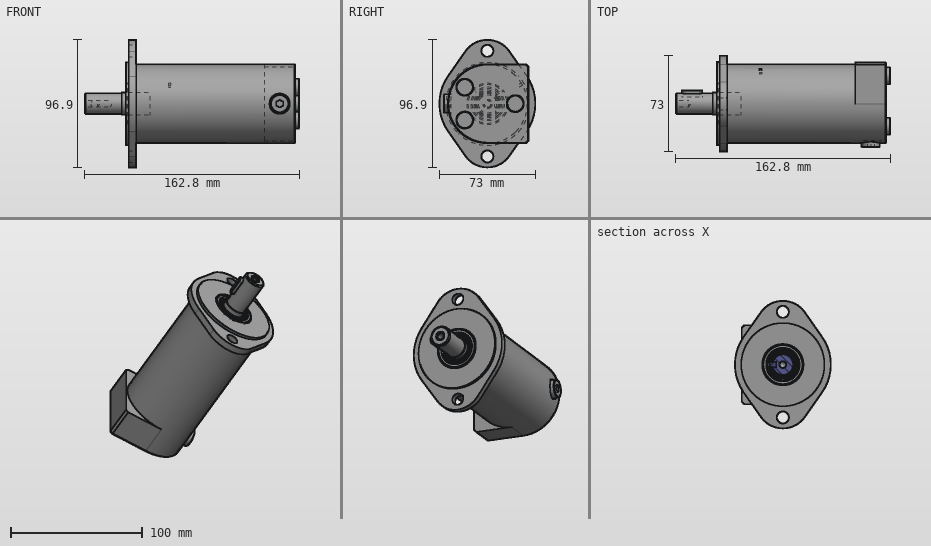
import cadquery as cq
import math

TOTAL_LENGTH = 162.8

SHAFT_DIA = 16.0
SHAFT_TIP_DIA = 13.8
SHOULDER_DIA = 17.0
SHOULDER_X = 28.2
SHAFT_END_X = 49.7
CENTRE_MOUTH_DIA = 7.0
CENTRE_LEDGE_DIA = 6.0
CENTRE_CORE_DIA = 4.9
CENTRE_MOUTH_DEPTH = 1.0
CENTRE_CORE_DEPTH = 9.8
CENTRE_POINT_ANGLE = 120.0

KEY_X = 4.5
KEY_LENGTH = 15.8
KEY_WIDTH = 4.9
KEY_HEIGHT = 4.9
KEY_TOP_Y = 10.1

PILOT_X = 31.5
PILOT_DIA = 63.2
FLANGE_X = 33.5
FLANGE_THICKNESS = 5.5
FLANGE_WIDTH = 73.0
FLANGE_HEIGHT = 96.9
FLANGE_TIP_RADIUS = 20.4
FLANGE_HOLE_DIA = 9.0
FLANGE_HOLE_Z = 40.0
BODY_DIA = 60.0
BODY_END_X = 159.7
REAR_CHAMFER_LENGTH = 0.8
REAR_CHAMFER_DROP = 0.5
PORT_BLOCK_X = 136.5
PORT_BLOCK_Y = 31.3
PORT_BLOCK_CHAMFER = 2.0
VENT_DIA = 2.0
VENT_DEPTH = 3.3
VENT_X = 64.3
VENT_ANGLE = 30.0

SEAL_OUTER_DIA = 31.5
SEAL_FACE_OUTER_DIA = 29.5
SEAL_FACE_INNER_DIA = 25.5
SEAL_VALLEY_DIA = 23.5
SEAL_ROUND_RADIUS = 0.5
SEAL_STEP_DIA = 21.0
SEAL_LIP_FOOT_DIA = 19.0
SEAL_LIP_DIA = 17.6
SEAL_VALLEY_DEPTH = 1.0
SEAL_STEP_DEPTH = 1.1
SEAL_LIP_DEPTH = 0.7

PLUG_X = 148.0
PLUG_DIA = 14.0
PLUG_RECESS_DIA = 15.5
PLUG_TIP_DIA = 13.0
PLUG_TIP_Y = -33.0
PLUG_SEAT_Y = -27.7
PLUG_CHAMFER_HEIGHT = 0.5
PLUG_SOCKET_WIDTH = 5.0
PLUG_SOCKET_DEPTH = 4.5

BOLT_DIA = 13.0
BOLT_CHAMFER = 0.5
BOLT_CIRCLE_RADIUS = 21.2
BOLT_ANGLES = (0.0, 144.0, 216.0)


def rod(diameter, start_x, end_x):
    """Cylinder along X."""
    return cq.Workplane("YZ").workplane(offset=start_x).circle(diameter / 2).extrude(end_x - start_x)


def make_flange():
    """Two-hole flange: a round middle joined by tangent lines to two rounded tips."""
    middle_radius = FLANGE_WIDTH / 2
    tip_centre_z = FLANGE_HEIGHT / 2 - FLANGE_TIP_RADIUS
    tangent_sine = (middle_radius - FLANGE_TIP_RADIUS) / tip_centre_z
    tangent_cosine = math.sqrt(1 - tangent_sine**2)
    middle_y = middle_radius * tangent_cosine
    middle_z = middle_radius * tangent_sine
    tip_y = FLANGE_TIP_RADIUS * tangent_cosine
    tip_z = tip_centre_z + FLANGE_TIP_RADIUS * tangent_sine
    return (
        cq.Workplane("YZ")
        .workplane(offset=FLANGE_X)
        .moveTo(middle_y, -middle_z)
        .threePointArc((middle_radius, 0), (middle_y, middle_z))
        .lineTo(tip_y, tip_z)
        .threePointArc((0, FLANGE_HEIGHT / 2), (-tip_y, tip_z))
        .lineTo(-middle_y, middle_z)
        .threePointArc((-middle_radius, 0), (-middle_y, -middle_z))
        .lineTo(-tip_y, -tip_z)
        .threePointArc((0, -FLANGE_HEIGHT / 2), (tip_y, -tip_z))
        .close()
        .extrude(FLANGE_THICKNESS)
        .cut(
            cq.Workplane("YZ")
            .workplane(offset=FLANGE_X)
            .pushPoints([(0, FLANGE_HOLE_Z), (0, -FLANGE_HOLE_Z)])
            .circle(FLANGE_HOLE_DIA / 2)
            .extrude(FLANGE_THICKNESS)
        )
    )


def make_rear_cover():
    """Round end cover with a square port block on its +Y side."""
    length = BODY_END_X - PORT_BLOCK_X
    block = (
        cq.Workplane("XY")
        .box(length, PORT_BLOCK_Y, BODY_DIA, centered=(False, False, True))
        .translate((PORT_BLOCK_X, 0, 0))
        .edges("|X and >Y")
        .chamfer(PORT_BLOCK_CHAMFER)
    )
    cover = rod(BODY_DIA, PORT_BLOCK_X, BODY_END_X).union(block)
    return cover.faces(">X").chamfer(REAR_CHAMFER_LENGTH, REAR_CHAMFER_DROP)


def make_seal_seat():
    """Ring of material to remove from the pilot face around the shaft."""
    outer_radius = SEAL_OUTER_DIA / 2
    face_outer_radius = SEAL_FACE_OUTER_DIA / 2
    face_inner_radius = SEAL_FACE_INNER_DIA / 2
    valley_radius = SEAL_VALLEY_DIA / 2
    step_radius = SEAL_STEP_DIA / 2
    lip_foot_radius = SEAL_LIP_FOOT_DIA / 2
    lip_radius = SEAL_LIP_DIA / 2
    shaft_radius = SHOULDER_DIA / 2
    round_inner_radius = valley_radius - SEAL_ROUND_RADIUS
    round_depth = SEAL_VALLEY_DEPTH - SEAL_ROUND_RADIUS
    arc_offset = SEAL_ROUND_RADIUS * math.sqrt(0.5)
    outer_groove = (
        cq.Workplane("XY")
        .moveTo(PILOT_X, outer_radius)
        .lineTo(PILOT_X + outer_radius - face_outer_radius, outer_radius)
        .lineTo(PILOT_X, face_outer_radius)
        .close()
        .revolve(360, (0, 0, 0), (1, 0, 0))
    )
    lip_recess = (
        cq.Workplane("XY")
        .moveTo(PILOT_X, face_inner_radius)
        .lineTo(PILOT_X + SEAL_VALLEY_DEPTH, valley_radius)
        .threePointArc(
            (PILOT_X + SEAL_VALLEY_DEPTH - arc_offset, round_inner_radius + arc_offset),
            (PILOT_X + round_depth, round_inner_radius),
        )
        .lineTo(PILOT_X + round_depth, step_radius)
        .lineTo(PILOT_X + SEAL_STEP_DEPTH, step_radius)
        .lineTo(PILOT_X + SEAL_STEP_DEPTH, lip_foot_radius)
        .lineTo(PILOT_X + SEAL_LIP_DEPTH, lip_radius)
        .lineTo(PILOT_X + SEAL_STEP_DEPTH, shaft_radius)
        .lineTo(PILOT_X, shaft_radius)
        .close()
        .revolve(360, (0, 0, 0), (1, 0, 0))
    )
    return outer_groove.union(lip_recess)


def make_vent_hole():
    """Small radial hole in the barrel, tilted up from +Y."""
    hole = (
        cq.Workplane("XZ")
        .workplane(offset=-BODY_DIA / 2)
        .center(VENT_X, 0)
        .circle(VENT_DIA / 2)
        .extrude(VENT_DEPTH)
    )
    return hole.rotate((0, 0, 0), (1, 0, 0), VENT_ANGLE)


def plug_cylinder(diameter, start_y, end_y):
    """Cylinder along -Y at the plug, from start_y out to end_y."""
    return (
        cq.Workplane("XZ")
        .workplane(offset=-start_y)
        .center(PLUG_X, 0)
        .circle(diameter / 2)
        .extrude(start_y - end_y)
    )


def make_housing():
    return (
        rod(PILOT_DIA, PILOT_X, FLANGE_X)
        .union(make_flange())
        .union(rod(BODY_DIA, FLANGE_X, PORT_BLOCK_X))
        .union(make_rear_cover())
        .cut(rod(SHOULDER_DIA, PILOT_X, SHAFT_END_X))
        .cut(make_seal_seat())
        .cut(make_vent_hole())
        .cut(plug_cylinder(PLUG_RECESS_DIA, PLUG_SEAT_Y, PLUG_TIP_Y))
    )


def make_key():
    """Round-ended key lying along X, sunk into the +Y side of the shaft."""
    return (
        cq.Workplane("XZ")
        .workplane(offset=-KEY_TOP_Y)
        .center(KEY_X + KEY_LENGTH / 2, 0)
        .slot2D(KEY_LENGTH, KEY_WIDTH)
        .extrude(KEY_HEIGHT)
    )


def make_centre_hole():
    """Centre hole in the shaft tip: tapered mouth down to a ledge, then a core with a drill point."""
    mouth_radius = CENTRE_MOUTH_DIA / 2
    ledge_radius = CENTRE_LEDGE_DIA / 2
    core_radius = CENTRE_CORE_DIA / 2
    point_length = core_radius / math.tan(math.radians(CENTRE_POINT_ANGLE / 2))
    return (
        cq.Workplane("XY")
        .moveTo(0, 0)
        .lineTo(0, mouth_radius)
        .lineTo(CENTRE_MOUTH_DEPTH, ledge_radius)
        .lineTo(CENTRE_MOUTH_DEPTH, core_radius)
        .lineTo(CENTRE_CORE_DEPTH, core_radius)
        .lineTo(CENTRE_CORE_DEPTH + point_length, 0)
        .close()
        .revolve(360, (0, 0, 0), (1, 0, 0))
    )


def make_shaft():
    return (
        rod(SHAFT_DIA, 0, SHOULDER_X)
        .faces("<X")
        .chamfer((SHAFT_DIA - SHAFT_TIP_DIA) / 2)
        .union(rod(SHOULDER_DIA, SHOULDER_X, SHAFT_END_X))
        .cut(make_centre_hole())
        .cut(make_key())
    )


def make_plug_socket():
    """Hexagon socket in the plug tip, with corners pointing up and down."""
    corner_circle_dia = PLUG_SOCKET_WIDTH / math.cos(math.radians(30))
    return (
        cq.Workplane("XZ")
        .workplane(offset=-PLUG_TIP_Y)
        .center(PLUG_X, 0)
        .transformed(rotate=(0, 0, 30))
        .polygon(6, corner_circle_dia)
        .extrude(-PLUG_SOCKET_DEPTH)
    )


def make_plug():
    return (
        plug_cylinder(PLUG_DIA, PLUG_SEAT_Y, PLUG_TIP_Y)
        .faces("<Y")
        .chamfer(PLUG_CHAMFER_HEIGHT, (PLUG_DIA - PLUG_TIP_DIA) / 2)
        .cut(make_plug_socket())
    )


def make_bolt(angle):
    """Bolt head standing on the rear face, at an angle measured from +Y."""
    centre_y = BOLT_CIRCLE_RADIUS * math.cos(math.radians(angle))
    centre_z = BOLT_CIRCLE_RADIUS * math.sin(math.radians(angle))
    head = rod(BOLT_DIA, BODY_END_X, TOTAL_LENGTH).faces(">X").chamfer(BOLT_CHAMFER)
    return head.translate((0, centre_y, centre_z))


housing = make_housing()
shaft = make_shaft()
key = make_key()
plug = make_plug()
bolts = [make_bolt(angle) for angle in BOLT_ANGLES]

result = cq.Compound.makeCompound(
    [housing.val(), shaft.val(), key.val(), plug.val(), *[bolt.val() for bolt in bolts]]
)